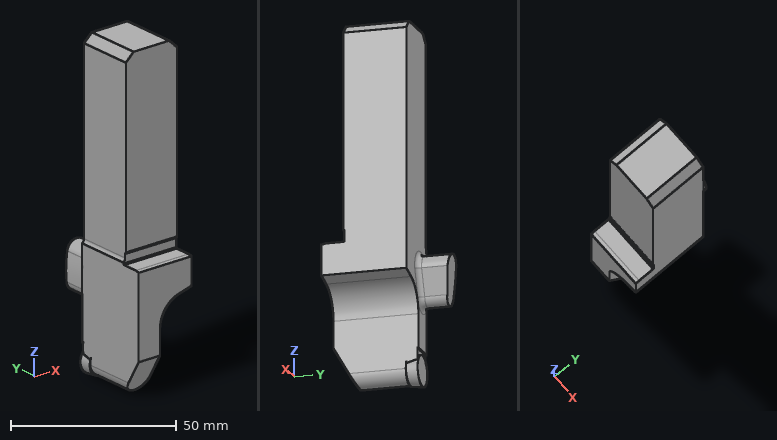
import cadquery as cq
import math

TOTAL_HEIGHT = 112.0

INSERT_RADIUS = 4.98
INSERT_THICKNESS = 3.9
INSERT_CLEARANCE_ANGLE = 7.0
NECK_WIDTH = 8.4
NECK_RADIUS = NECK_WIDTH / 2
NECK_CENTER_Z = INSERT_RADIUS
INSERT_SMALL_RADIUS = INSERT_RADIUS - INSERT_THICKNESS * math.tan(math.radians(INSERT_CLEARANCE_ANGLE))

SHANK_SIZE = 20.0
TOP_CHAMFER_WIDTH = 3.0
TOP_CHAMFER_HEIGHT = 2.8

HEAD_WIDTH = 20.7
HEAD_DEPTH = 27.0
LEDGE_Z = 43.0
LEDGE_BEVEL_DEPTH = 1.3
LEDGE_BEVEL_DROP = 0.3
SHOULDER_BOTTOM_Z = 43.7
SHOULDER_HEIGHT = 1.3
NECK_CENTER_X = NECK_RADIUS - HEAD_WIDTH
NECK_RIGHT_X = NECK_WIDTH - HEAD_WIDTH
NECK_BOTTOM_Z = NECK_CENTER_Z - NECK_RADIUS

SCOOP_RADIUS = 10.0
SCOOP_OUTER_Z = 32.9
SCOOP_SLOPE_ANGLE = 15.0

FRONT_SLOPE_TOP_Z = 13.3
FRONT_SLOPE_BOTTOM_Y = -19.7

RELIEF_DEPTH = 0.3
RELIEF_TOP_Z = 46.9
RELIEF_RAMP_HEIGHT = 0.6
RELIEF_FOOT_CHAMFER = 0.3

SEAT_STEP_DEPTH = 0.3
SEAT_STEP_Z = 11.2

STUD_RIGHT_X = -10.2
STUD_LEFT_X = -19.6
STUD_TOP_Z = 40.4
STUD_BOTTOM_Z = 24.8
STUD_UPPER_RADIUS = 4.1
STUD_LOWER_RADIUS = 3.1
STUD_TOP_LENGTH = 10.5
STUD_BOTTOM_LENGTH = 8.5
STUD_BASE_FILLET = 1.7


def make_front_profile():
    """Outline of shank, head and neck in the XZ plane."""
    left = -HEAD_WIDTH
    shank_left = -SHANK_SIZE
    shoulder_step = HEAD_WIDTH - SHANK_SIZE
    shoulder_radius = (SHOULDER_HEIGHT**2 + shoulder_step**2) / (2 * shoulder_step)
    shoulder_top_z = SHOULDER_BOTTOM_Z + SHOULDER_HEIGHT
    half_angle = math.asin(SHOULDER_HEIGHT / shoulder_radius) / 2
    shoulder_mid = (
        shank_left - shoulder_radius * (1 - math.cos(half_angle)),
        shoulder_top_z - shoulder_radius * math.sin(half_angle),
    )

    slope = math.radians(SCOOP_SLOPE_ANGLE)
    scoop_center_x = NECK_RIGHT_X + SCOOP_RADIUS
    scoop_end_x = scoop_center_x - SCOOP_RADIUS * math.sin(slope)
    scoop_end_z = SCOOP_OUTER_Z + scoop_end_x * math.tan(slope)
    scoop_center_z = scoop_end_z - SCOOP_RADIUS * math.cos(slope)
    mid_angle = (math.pi / 2 - slope) / 2
    scoop_mid = (
        scoop_center_x - SCOOP_RADIUS * math.cos(mid_angle),
        scoop_center_z + SCOOP_RADIUS * math.sin(mid_angle),
    )
    chamfer_z = TOTAL_HEIGHT - TOP_CHAMFER_HEIGHT
    return (
        cq.Workplane("XZ")
        .moveTo(0, SCOOP_OUTER_Z)
        .lineTo(0, chamfer_z)
        .lineTo(-TOP_CHAMFER_WIDTH, TOTAL_HEIGHT)
        .lineTo(shank_left + TOP_CHAMFER_WIDTH, TOTAL_HEIGHT)
        .lineTo(shank_left, chamfer_z)
        .lineTo(shank_left, shoulder_top_z)
        .threePointArc(shoulder_mid, (left, SHOULDER_BOTTOM_Z))
        .lineTo(left, NECK_CENTER_Z)
        .threePointArc((NECK_CENTER_X, NECK_BOTTOM_Z), (NECK_RIGHT_X, NECK_CENTER_Z))
        .lineTo(NECK_RIGHT_X, scoop_center_z)
        .threePointArc(scoop_mid, (scoop_end_x, scoop_end_z))
        .close()
    )


def make_side_envelope():
    """Side outline in the YZ plane that trims the front and the back of the body."""
    relief_y = RELIEF_DEPTH - SHANK_SIZE
    return (
        cq.Workplane("YZ")
        .moveTo(0, TOTAL_HEIGHT)
        .lineTo(-SHANK_SIZE, TOTAL_HEIGHT)
        .lineTo(-SHANK_SIZE, RELIEF_TOP_Z)
        .lineTo(relief_y, RELIEF_TOP_Z - RELIEF_RAMP_HEIGHT)
        .lineTo(relief_y, LEDGE_Z + RELIEF_FOOT_CHAMFER)
        .lineTo(relief_y - RELIEF_FOOT_CHAMFER, LEDGE_Z)
        .lineTo(-HEAD_DEPTH + LEDGE_BEVEL_DEPTH, LEDGE_Z)
        .lineTo(-HEAD_DEPTH, LEDGE_Z - LEDGE_BEVEL_DROP)
        .lineTo(-HEAD_DEPTH, FRONT_SLOPE_TOP_Z)
        .lineTo(FRONT_SLOPE_BOTTOM_Y, NECK_BOTTOM_Z)
        .lineTo(-SEAT_STEP_DEPTH, NECK_BOTTOM_Z)
        .lineTo(-SEAT_STEP_DEPTH, SEAT_STEP_Z)
        .lineTo(0, SEAT_STEP_Z)
        .close()
        .extrude(-HEAD_WIDTH)
    )


def point_on_circle(center, radius, angle):
    """Point at the given angle, measured from +X towards +Z."""
    return (center[0] + radius * math.cos(angle), center[1] + radius * math.sin(angle))


def make_stud():
    """Leaning stud: two round ends joined by a straight right side and a bulging left side, all tangent."""
    upper_center = (STUD_RIGHT_X - STUD_UPPER_RADIUS, STUD_TOP_Z - STUD_UPPER_RADIUS)
    lower_center = (STUD_LEFT_X + STUD_LOWER_RADIUS, STUD_BOTTOM_Z + STUD_LOWER_RADIUS)
    run = upper_center[0] - lower_center[0]
    rise = upper_center[1] - lower_center[1]

    lean = math.atan2(rise, run)
    right_angle = lean - math.acos((STUD_UPPER_RADIUS - STUD_LOWER_RADIUS) / math.hypot(run, rise))

    reach = upper_center[0] - STUD_LEFT_X
    left_radius = (reach**2 + rise**2 - STUD_UPPER_RADIUS**2) / (2 * (reach - STUD_UPPER_RADIUS))
    left_center = (STUD_LEFT_X + left_radius, lower_center[1])
    left_angle = math.atan2(rise, upper_center[0] - left_center[0])

    stud = (
        cq.Workplane("XZ")
        .moveTo(*point_on_circle(lower_center, STUD_LOWER_RADIUS, right_angle))
        .lineTo(*point_on_circle(upper_center, STUD_UPPER_RADIUS, right_angle))
        .threePointArc(
            (upper_center[0], STUD_TOP_Z),
            point_on_circle(upper_center, STUD_UPPER_RADIUS, left_angle),
        )
        .threePointArc(
            point_on_circle(left_center, left_radius, (left_angle + math.pi) / 2),
            (STUD_LEFT_X, lower_center[1]),
        )
        .threePointArc(
            (lower_center[0], STUD_BOTTOM_Z),
            point_on_circle(lower_center, STUD_LOWER_RADIUS, right_angle),
        )
        .close()
        .extrude(-STUD_TOP_LENGTH)
    )
    sloping_end = (
        cq.Workplane("YZ")
        .moveTo(STUD_TOP_LENGTH, STUD_TOP_Z)
        .lineTo(STUD_BOTTOM_LENGTH, STUD_BOTTOM_Z)
        .lineTo(STUD_TOP_LENGTH, STUD_BOTTOM_Z)
        .close()
        .extrude(-HEAD_WIDTH)
    )
    return stud.cut(sloping_end)


def make_filleted_stud():
    """Stud with a concave fillet at its base, trimmed flush with the left side of the head."""
    margin = 2 * STUD_BASE_FILLET
    plate_width = STUD_RIGHT_X - STUD_LEFT_X + 2 * margin
    plate_height = STUD_TOP_Z - STUD_BOTTOM_Z + 2 * margin
    plate = cq.Workplane("XY").box(plate_width, STUD_BASE_FILLET, plate_height, centered=False)
    plate = plate.translate((STUD_LEFT_X - margin, -STUD_BASE_FILLET, STUD_BOTTOM_Z - margin))
    stud_base_edges = cq.selectors.BoxSelector(
        (STUD_LEFT_X - margin / 2, -STUD_BASE_FILLET / 2, STUD_BOTTOM_Z - margin / 2),
        (STUD_RIGHT_X + margin / 2, STUD_BASE_FILLET / 2, STUD_TOP_Z + margin / 2),
    )
    flared = plate.union(make_stud()).edges(stud_base_edges).fillet(STUD_BASE_FILLET)
    keep = cq.Workplane("XY").box(HEAD_WIDTH, STUD_TOP_LENGTH, TOTAL_HEIGHT, centered=False)
    return flared.intersect(keep.translate((-HEAD_WIDTH, 0, 0)))


def make_insert():
    """Tapered round insert, its larger face flush with the back face of the head."""
    return (
        cq.Workplane("XZ")
        .center(NECK_CENTER_X, NECK_CENTER_Z)
        .circle(INSERT_RADIUS)
        .workplane(offset=INSERT_THICKNESS)
        .circle(INSERT_SMALL_RADIUS)
        .loft(ruled=True)
    )


def make_holder(insert):
    """Shank, head, neck and stud, with a pocket that fits the insert."""
    body = make_front_profile().extrude(HEAD_DEPTH).intersect(make_side_envelope())
    body = body.union(make_filleted_stud())
    return body.cut(insert)


insert = make_insert()
holder = make_holder(insert)

result = cq.Compound.makeCompound([holder.val(), insert.val()])